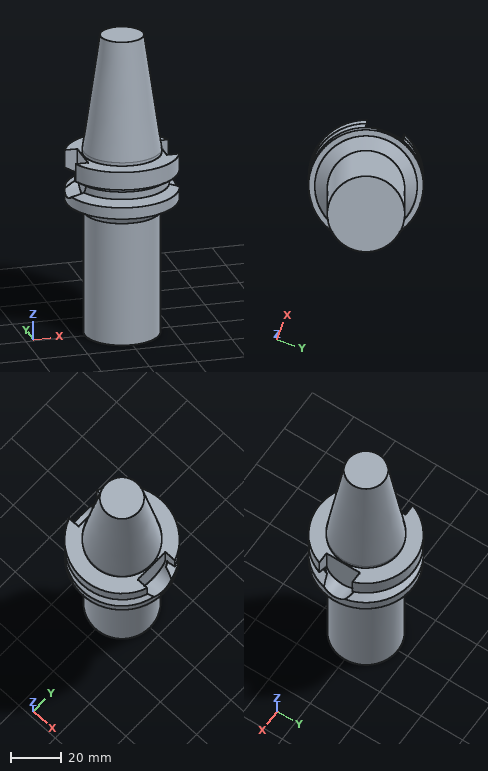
import cadquery as cq

total_height = 127.4
shank_top = 52.2
flange_bottom = 57.1
flange_top = 77.1
taper_start = 78.6

shank_radius = 31.0 / 2
cone_top_radius = 20.5
flange_radius = 46.0 / 2
taper_large_radius = 31.8 / 2
taper_small_radius = 17.7 / 2

groove_floor_radius = 38.0 / 2
groove_lower_edge = 61.9
groove_floor_bottom = 64.0
groove_floor_top = 67.1
groove_upper_edge = 69.5

slot_width = 16.0
slot_bottom = 60.1
slot_floor_distance = 16.3


def make_body():
    """Revolve the shank, grooved flange and taper about the Z axis."""
    profile = [
        (0, 0),
        (shank_radius, 0),
        (shank_radius, shank_top),
        (cone_top_radius, flange_bottom),
        (flange_radius, flange_bottom),
        (flange_radius, groove_lower_edge),
        (groove_floor_radius, groove_floor_bottom),
        (groove_floor_radius, groove_floor_top),
        (flange_radius, groove_upper_edge),
        (flange_radius, flange_top),
        (taper_large_radius, flange_top),
        (taper_large_radius, taper_start),
        (taper_small_radius, total_height),
        (0, total_height),
    ]
    return cq.Workplane("XZ").polyline(profile).close().revolve(360, (0, 0), (0, 1))


def make_drive_slot(side):
    """Round-bottomed slot cutter; side is -1 for -X and +1 for +X."""
    half_width = slot_width / 2
    arc_center = slot_bottom + half_width
    return (
        cq.Workplane("YZ", origin=(side * slot_floor_distance, 0, 0))
        .moveTo(-half_width, flange_top)
        .lineTo(-half_width, arc_center)
        .threePointArc((0, slot_bottom), (half_width, arc_center))
        .lineTo(half_width, flange_top)
        .close()
        .extrude(side * flange_radius)
    )


result = make_body()
for side in (-1, 1):
    result = result.cut(make_drive_slot(side))